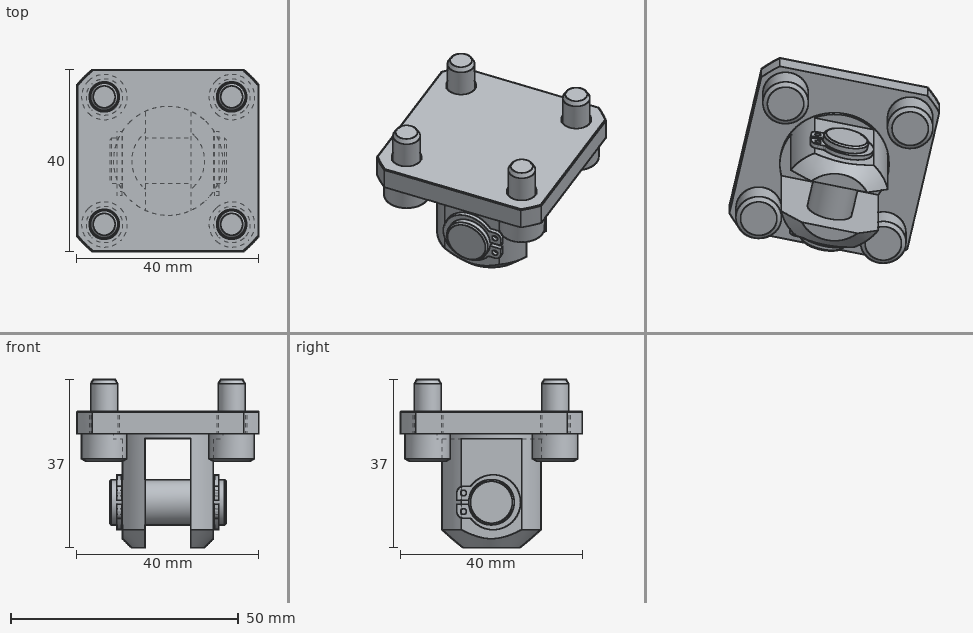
import cadquery as cq

plate_side = 40.0
plate_turned_radius = 26.0
plate_thickness = 5.0
plate_edge_chamfer = 0.2
plate_bottom = -plate_thickness

screw_spacing = 28.0
screw_diameter = 6.0
screw_tip_diameter = 4.8
screw_tip_height = 1.0
screw_projection = 7.0
clearance_diameter = 6.6
head_diameter = 10.0
head_height = 6.0
head_chamfer_height = 0.6
head_chamfer_width = 1.0

clevis_radius = 12.0
clevis_bottom = -30.0
clevis_end_chamfer = 4.0
clevis_width = 20.0
clevis_shoulder = 1.0
slot_width = 10.0
shoulder_bottom = plate_bottom - clevis_shoulder

pin_diameter = 10.0
pin_length = 25.6
pin_chamfer = 0.4
pin_height = 10.0
pin_z = clevis_bottom + pin_height

ring_gap_to_clevis = 0.2
ring_thickness = 1.0
ring_outer_radius = 6.05
ring_offset_y = 0.35
lug_end_y = -7.6
eyelet_radius = 1.5
eyelet_hole_diameter = 1.3
eyelet_z = 2.05
lug_slit_width = 0.95
lug_root_fillet = 0.6


def make_plate():
    square = cq.Workplane("XY").workplane(offset=plate_bottom).rect(plate_side, plate_side)
    disc = cq.Workplane("XY").workplane(offset=plate_bottom).circle(plate_turned_radius)
    plate = square.extrude(plate_thickness).intersect(disc.extrude(plate_thickness))
    plate = plate.faces(">Z").chamfer(plate_edge_chamfer)
    return (
        plate.faces(">Z").workplane(origin=(0, 0, 0))
        .rect(screw_spacing, screw_spacing, forConstruction=True).vertices()
        .hole(clearance_diameter)
    )


def make_screw():
    """Cap screw on the Z axis, revolved from its half profile."""
    shank_radius = screw_diameter / 2
    head_radius = head_diameter / 2
    head_bottom = plate_bottom - head_height
    half_profile = [
        (0, head_bottom),
        (head_radius - head_chamfer_width, head_bottom),
        (head_radius, head_bottom + head_chamfer_height),
        (head_radius, plate_bottom),
        (shank_radius, plate_bottom),
        (shank_radius, screw_projection - screw_tip_height),
        (screw_tip_diameter / 2, screw_projection),
        (0, screw_projection),
    ]
    return cq.Workplane("XZ").polyline(half_profile).close().revolve(360, (0, 0), (0, 1))


def make_clevis():
    height = plate_bottom - clevis_bottom
    clevis = cq.Workplane("XY").workplane(offset=clevis_bottom).circle(clevis_radius).extrude(height)
    clevis = clevis.faces("<Z").chamfer(clevis_end_chamfer)

    cut_height = shoulder_bottom - clevis_bottom
    arm_thickness = (clevis_width - slot_width) / 2
    arm_center_x = (clevis_width + slot_width) / 4
    arms = (
        cq.Workplane("XY").workplane(offset=clevis_bottom)
        .pushPoints([(-arm_center_x, 0), (arm_center_x, 0)])
        .rect(arm_thickness, 2 * clevis_radius).extrude(cut_height)
    )
    shoulder = (
        cq.Workplane("XY").workplane(offset=shoulder_bottom)
        .circle(clevis_radius).extrude(clevis_shoulder)
    )
    return clevis.intersect(arms.union(shoulder))


def make_pin():
    pin = cq.Workplane("YZ").center(0, pin_z).circle(pin_diameter / 2).extrude(pin_length / 2, both=True)
    return pin.faces("<X or >X").chamfer(pin_chamfer)


def make_retaining_ring():
    """Ring on the +X end of the pin."""
    inner_x = clevis_width / 2 + ring_gap_to_clevis
    plane = cq.Workplane("YZ", origin=(inner_x, 0, pin_z))
    lug_half_height = eyelet_z + eyelet_radius
    eyelet_y = lug_end_y + eyelet_radius

    body = plane.center(ring_offset_y, 0).circle(ring_outer_radius).extrude(ring_thickness)
    lug = (
        plane.center(lug_end_y / 2, 0).rect(-lug_end_y, 2 * lug_half_height).extrude(ring_thickness)
        .edges("|X and <Y").fillet(eyelet_radius)
    )
    root_y = ring_offset_y - (ring_outer_radius**2 - lug_half_height**2) ** 0.5
    ring = body.union(lug)
    for side in (-1, 1):
        root = (inner_x + ring_thickness / 2, root_y, pin_z + side * lug_half_height)
        ring = ring.edges(cq.NearestToPointSelector(root)).fillet(lug_root_fillet)

    slit = plane.center(lug_end_y / 2, 0).rect(-lug_end_y, lug_slit_width).extrude(ring_thickness)
    eyelet_holes = (
        plane.pushPoints([(eyelet_y, -eyelet_z), (eyelet_y, eyelet_z)])
        .circle(eyelet_hole_diameter / 2).extrude(ring_thickness)
    )
    return ring.cut(slit).cut(eyelet_holes)


retaining_ring = make_retaining_ring()
result = make_plate().union(make_clevis())
for x in (-screw_spacing / 2, screw_spacing / 2):
    for y in (-screw_spacing / 2, screw_spacing / 2):
        result = result.union(make_screw().translate((x, y, 0)))
result = result.union(make_pin()).union(retaining_ring).union(retaining_ring.mirror("YZ"))